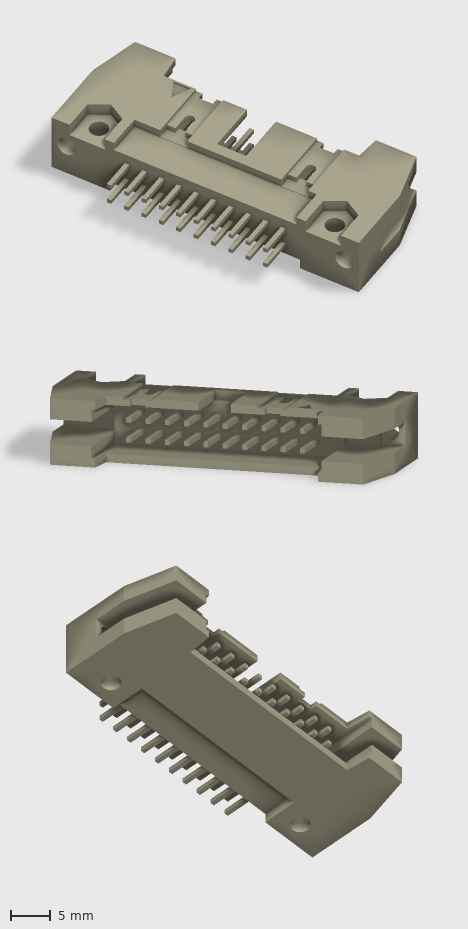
import cadquery as cq
import math


LENGTH = 45
HEIGHT = 8.5
WING_Y = 17.32
RIM_Y = 13.8
SHOULDER_Y = 10.1
WING_TIP_OUTER_X = 20.6
WING_TIP_INNER_X = 14.65
WING_ROOT_X = 14.3
MID_Z = HEIGHT / 2

PIN_COLUMNS = 10
PIN_ROW_LENGTH = 22.85
PIN_PITCH = PIN_ROW_LENGTH / (PIN_COLUMNS - 1)
PIN_SIZE = 0.65
PIN_REAR_Y = -4.45
PIN_FRONT_Y = 13.55

CAVITY_HALF_LENGTH = 15.1
CAVITY_FLOOR_Y = 7.45
WALL = 1.12
CAVITY_TOP_Z = HEIGHT - WALL
SLOT_HEIGHT = PIN_PITCH + PIN_SIZE
SLOT_INNER_FLOOR_Y = 6.1
SLOT_OUTER_FLOOR_Y = 5.3
SLOT_STEP_X = 19.35

HOLE_DIAMETER = 2.6
NUT_X = 17.3
NUT_Y = 2.9
NUT_CORNER_RADIUS = 2.95
NUT_POCKET_DEPTH = 1.75
BORE_X = 20.35
BORE_Z = 4.5

RECESS_Y = 5.0
TOP_RECESS_HALF_LENGTH = 13.35
TOP_RECESS_DEPTH = 1.2
BOTTOM_RECESS_HALF_LENGTH = 13.9
BOTTOM_RECESS_DEPTH = 1.5

KEY_HALF_WIDTH = 2.1
KEY_END_Y = 6.5

LATCH_HALF_SPACING = 8.85
LATCH_CENTRE_X = 1.25
LATCH_WIDTH = 3.95
LATCH_DROP = 0.35
LATCH_REAR_Y = 6.6
LATCH_SLOT_WIDTH = 1.4
LATCH_SLOT_END_Y = 9.65
LATCH_NOTCH_WIDTH = 2.05
LATCH_NOTCH_DEPTH = 0.95

MARK_WIDTH = 2.48
MARK_LENGTH = 2.6
MARK_DEPTH = 0.25


def block(x0, x1, y0, y1, z0, z1):
    """Box between two opposite corners."""
    return cq.Workplane("XY").box(x1 - x0, y1 - y0, z1 - z0, centered=False).translate((x0, y0, z0))


def housing():
    right_side = [
        (LENGTH / 2, 0),
        (LENGTH / 2, SHOULDER_Y),
        (WING_TIP_OUTER_X, WING_Y),
        (WING_TIP_INNER_X, WING_Y),
        (WING_ROOT_X, RIM_Y),
    ]
    left_side = [(-x, y) for x, y in reversed(right_side)]
    return cq.Workplane("XY").polyline(right_side + left_side).close().extrude(HEIGHT)


def mating_cavity():
    """Pin cavity with the stepped ejector slots that open it to both ends."""
    slot_bottom = MID_Z - SLOT_HEIGHT / 2
    slot_top = MID_Z + SLOT_HEIGHT / 2
    cavity = block(-CAVITY_HALF_LENGTH, CAVITY_HALF_LENGTH, CAVITY_FLOOR_Y, WING_Y, WALL, CAVITY_TOP_Z)
    cavity = cavity.union(
        block(CAVITY_HALF_LENGTH, SLOT_STEP_X, SLOT_INNER_FLOOR_Y, WING_Y, slot_bottom, slot_top)
    )
    cavity = cavity.union(
        block(SLOT_STEP_X, LENGTH / 2, SLOT_OUTER_FLOOR_Y, WING_Y, slot_bottom, slot_top)
    )
    return cavity.union(cavity.mirror("YZ"))


def rear_recesses():
    top = block(
        -TOP_RECESS_HALF_LENGTH, TOP_RECESS_HALF_LENGTH, 0, RECESS_Y, HEIGHT - TOP_RECESS_DEPTH, HEIGHT
    )
    bottom = block(
        -BOTTOM_RECESS_HALF_LENGTH, BOTTOM_RECESS_HALF_LENGTH, 0, RECESS_Y, 0, BOTTOM_RECESS_DEPTH
    )
    return top.union(bottom)


def mounting_cut(side):
    """Screw hole with a nut pocket open to the rear, and a bore from the rear into the ejector slot."""
    x = side * NUT_X
    half_flat = NUT_CORNER_RADIUS * math.cos(math.pi / 6)
    corner_y = NUT_Y + NUT_CORNER_RADIUS / 2
    pocket = (
        cq.Workplane("XY", origin=(x, 0, HEIGHT - NUT_POCKET_DEPTH))
        .polyline([
            (-half_flat, 0),
            (half_flat, 0),
            (half_flat, corner_y),
            (0, NUT_Y + NUT_CORNER_RADIUS),
            (-half_flat, corner_y),
        ])
        .close()
        .extrude(NUT_POCKET_DEPTH)
    )
    hole = cq.Workplane("XY").center(x, NUT_Y).circle(HOLE_DIAMETER / 2).extrude(HEIGHT)
    bore = (
        cq.Workplane("XZ")
        .center(side * BORE_X, BORE_Z)
        .circle(HOLE_DIAMETER / 2)
        .extrude(-SLOT_OUTER_FLOOR_Y)
    )
    return pocket.union(hole).union(bore)


def keyway():
    return block(-KEY_HALF_WIDTH, KEY_HALF_WIDTH, KEY_END_Y, RIM_Y, CAVITY_TOP_Z, HEIGHT)


def latch_cut(x):
    """Lowered tongue: groove, sunken rear end, round-ended slot and front notch."""
    half_width = LATCH_WIDTH / 2
    slot_radius = LATCH_SLOT_WIDTH / 2
    slot_arc_y = LATCH_SLOT_END_Y - slot_radius
    half_notch = LATCH_NOTCH_WIDTH / 2
    groove = block(x - half_width, x + half_width, RECESS_Y, RIM_Y, HEIGHT - LATCH_DROP, HEIGHT)
    rear_end = block(x - half_width, x + half_width, RECESS_Y, LATCH_REAR_Y, CAVITY_TOP_Z, HEIGHT)
    slot = block(x - slot_radius, x + slot_radius, LATCH_REAR_Y, slot_arc_y, CAVITY_TOP_Z, HEIGHT)
    slot_end = (
        cq.Workplane("XY", origin=(x, slot_arc_y, CAVITY_TOP_Z)).circle(slot_radius).extrude(WALL)
    )
    notch = block(
        x - half_notch, x + half_notch, RIM_Y - LATCH_NOTCH_DEPTH, RIM_Y, CAVITY_TOP_Z, HEIGHT
    )
    return groove.union(rear_end).union(slot).union(slot_end).union(notch)


def pin_one_mark():
    """Shallow triangle above the first pin, pointing to the rear."""
    first_pin_x = -PIN_ROW_LENGTH / 2
    return (
        cq.Workplane("XY", origin=(first_pin_x, PIN_FRONT_Y, HEIGHT - MARK_DEPTH))
        .polyline([(-MARK_WIDTH / 2, 0), (MARK_WIDTH / 2, 0), (0, -MARK_LENGTH)])
        .close()
        .extrude(MARK_DEPTH)
    )


def pins():
    """Two rows of square pins running from behind the housing into the cavity."""
    return (
        cq.Workplane("XZ", origin=(0, PIN_REAR_Y, MID_Z))
        .rarray(PIN_PITCH, PIN_PITCH, PIN_COLUMNS, 2)
        .rect(PIN_SIZE, PIN_SIZE)
        .extrude(PIN_REAR_Y - PIN_FRONT_Y)
    )


result = housing().cut(mating_cavity()).cut(rear_recesses()).cut(keyway()).cut(pin_one_mark())
for side in (-1, 1):
    result = result.cut(mounting_cut(side))
    result = result.cut(latch_cut(side * LATCH_HALF_SPACING + LATCH_CENTRE_X))
result = result.union(pins())